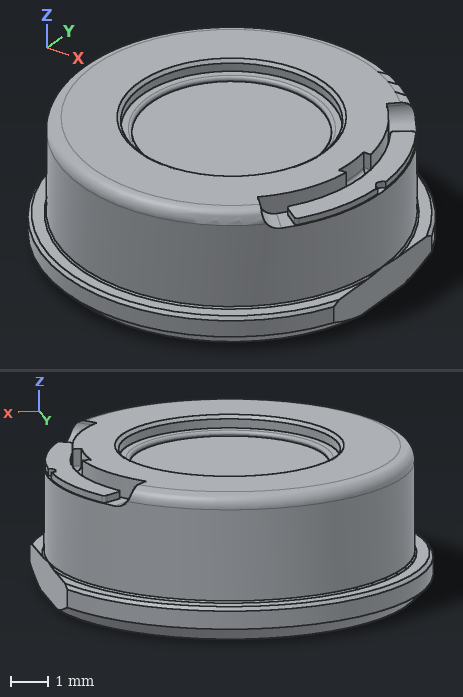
import cadquery as cq
import math

total_height = 4.0
flange_height = 1.0
recess_depth = 0.35
window_depth = 0.5

flange_radius = 5.5
flange_bottom_chamfer = 0.4
flange_top_chamfer = 0.1
barrel_radius = 5.0
barrel_top_fillet = 0.4
root_fillet = 0.05

recess_radius = 2.99
recess_chamfer = 0.1
window_radius = 2.7
window_rim_fillet = 0.1
window_thickness = 0.4

slot_depth = 0.59
slot_inner_radius = 4.24
slot_half_angle = 45.0
slot_end_fillet = 0.52
slot_floor = total_height - slot_depth

pocket_inner_radius = 4.0
pocket_half_width = 0.57
pocket_floor_fillet = 0.12

plate_thickness = 0.2
plate_inner_radius = 4.29
plate_outer_radius = 4.97
plate_half_angle = 34.4
plate_corner_fillet = 0.1
plate_notch_radius = 0.2

clearance = 0.11


def polar(radius, angle):
    """Point at a radius and an angle in degrees from the X axis."""
    turn = math.radians(angle)
    return radius * math.cos(turn), radius * math.sin(turn)


def ring_sector(inner_radius, outer_radius, half_angle, bottom, height):
    """Part of a flat ring, centred on the X axis."""
    return (
        cq.Workplane("XY")
        .workplane(offset=bottom)
        .moveTo(*polar(inner_radius, -half_angle))
        .lineTo(*polar(outer_radius, -half_angle))
        .threePointArc((outer_radius, 0), polar(outer_radius, half_angle))
        .lineTo(*polar(inner_radius, half_angle))
        .threePointArc((inner_radius, 0), polar(inner_radius, -half_angle))
        .close()
        .extrude(height)
    )


def disc(radius, bottom, height):
    return cq.Workplane("XY").workplane(offset=bottom).circle(radius).extrude(height)


def flanged_barrel():
    """Solid barrel on its chamfered flange, with the flange trimmed flat at +X."""
    flange = (
        disc(flange_radius, 0, flange_height)
        .faces("<Z").chamfer(flange_bottom_chamfer)
        .faces(">Z").chamfer(flange_top_chamfer)
    )
    barrel = (
        disc(barrel_radius, 0, total_height)
        .faces(">Z").edges().fillet(barrel_top_fillet)
    )
    root = (
        cq.Workplane("XZ")
        .moveTo(barrel_radius - clearance, flange_height)
        .lineTo(barrel_radius + root_fillet, flange_height)
        .radiusArc((barrel_radius, flange_height + root_fillet), root_fillet)
        .lineTo(barrel_radius - clearance, flange_height + root_fillet)
        .close()
        .revolve(360, (0, 0), (0, 1))
    )
    trim = (
        cq.Workplane("XY")
        .box(flange_radius, 2 * flange_radius, total_height, centered=(False, True, False))
        .translate((barrel_radius, 0, 0))
    )
    return flange.union(barrel).union(root).cut(trim)


def front_opening():
    """Cutter for the chamfered recess and the round-edged window seat below it."""
    ledge = total_height - recess_depth
    seat = total_height - window_depth - window_thickness
    wide_radius = recess_radius + recess_chamfer
    rim_radius = window_radius + window_rim_fillet
    return (
        cq.Workplane("XZ")
        .moveTo(0, seat)
        .lineTo(window_radius, seat)
        .lineTo(window_radius, ledge - window_rim_fillet)
        .radiusArc((rim_radius, ledge), window_rim_fillet)
        .lineTo(recess_radius, ledge)
        .lineTo(recess_radius, total_height - recess_chamfer)
        .lineTo(wide_radius, total_height)
        .lineTo(0, total_height)
        .close()
        .revolve(360, (0, 0), (0, 1))
    )


def plate_slot():
    """Cutter for the curved slot, whose two ends sweep up from the floor."""
    slot = ring_sector(
        slot_inner_radius, flange_radius, slot_half_angle, slot_floor, slot_depth + clearance
    )
    return slot.faces("<Z").edges("%LINE").fillet(slot_end_fillet)


def slot_pocket():
    """Cutter for the pocket in the inner wall of the slot, rounded along its floor."""
    length = slot_inner_radius + clearance
    pocket = (
        cq.Workplane("XY")
        .workplane(offset=slot_floor)
        .center(length / 2, 0)
        .rect(length, 2 * pocket_half_width)
        .extrude(slot_depth + clearance)
        .cut(disc(pocket_inner_radius, slot_floor, slot_depth + clearance))
    )
    return pocket.faces("<Z").edges("not >X").fillet(pocket_floor_fillet)


def make_housing():
    return flanged_barrel().cut(front_opening()).cut(plate_slot()).cut(slot_pocket())


def make_window():
    bottom = total_height - window_depth - window_thickness
    return disc(window_radius, bottom, window_thickness)


def make_plate():
    """Curved plate with rounded corners and a half-round notch at mid-length."""
    plate = ring_sector(
        plate_inner_radius, plate_outer_radius, plate_half_angle, slot_floor, plate_thickness
    ).edges("|Z").fillet(plate_corner_fillet)
    notch = disc(plate_notch_radius, slot_floor, plate_thickness).translate((barrel_radius, 0, 0))
    return plate.cut(notch)


housing = make_housing()
window = make_window()
plate = make_plate()

result = cq.Compound.makeCompound([body.solids().val() for body in (housing, window, plate)])